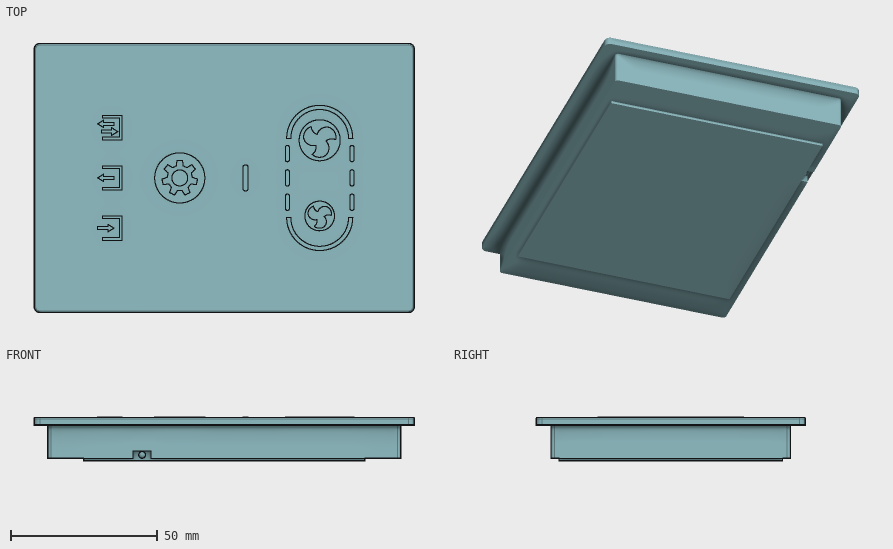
import math

import cadquery as cq

OUTER_X = 130.0
OUTER_Y = 92.0
OUTER_CORNER = 2.0

TOTAL_HEIGHT = 15.1
MARK_HEIGHT = 0.1
PANEL_TOP = TOTAL_HEIGHT - MARK_HEIGHT
PANEL_BOTTOM = 12.5
PANEL_EDGE_RADIUS = 0.5

FLANGE_BOTTOM = 12.1
BOX_X = 120.8
BOX_Y = 81.9
BOX_CORNER = 1.2
BOX_BOTTOM = 0.9
PAD_X = 96.2
PAD_Y = 76.5

NOTCH_X = -28.1
NOTCH_WIDTH = 6.1
NOTCH_TOP = 3.4
NOTCH_DEPTH = (BOX_Y - PAD_Y) / 2
DOME_RADIUS = 1.2
DOME_Z = 2.1

BRACKET_RIGHT = -35.0
BRACKET_WIDTH = 6.6
BRACKET_HEIGHT = 8.3
BRACKET_LINE = 0.9
SYMBOL_PITCH = 17.2
ARROW_LENGTH = 5.6
ARROW_HEAD_LENGTH = 2.1
ARROW_HEAD_WIDTH = 2.6
ARROW_SHAFT_WIDTH = 1.0
ARROW_LEFT = -43.3
PAIR_OFFSET_Y = 1.3
PAIR_SHIFT_X = 1.3

GEAR_X = -15.2
GEAR_BUTTON_RADIUS = 8.6
GEAR_BORE_RADIUS = 2.7
GEAR_ROOT_RADIUS = 4.3
GEAR_TIP_RADIUS = 6.1
GEAR_TEETH = 7
GEAR_ROOT_HALF_ANGLE = 16.0
GEAR_TIP_HALF_ANGLE = 9.0

DIVIDER_X = 7.3
DIVIDER_LENGTH = 9.0
DIVIDER_WIDTH = 1.8

SLIDER_X = 32.6
RING_Y = 13.5
RING_OUTER_RADIUS = 11.3
RING_INNER_RADIUS = 9.9
BAR_LENGTH = 5.6
BAR_WIDTH = 1.4
BAR_PITCH = 8.3
BAR_OFFSET_X = 11.0

FAN_BUTTONS = [(12.9, 7.0), (-13.0, 5.1)]
FAN_BLADES = 3

BLADE_ROOT = (0.31, 0.0)
BLADE_LEADING_EDGE = (0.63, -38.0)
BLADE_LEADING_CORNER = (0.78, -59.0)
BLADE_TIP = (0.83, -86.0)
BLADE_TRAILING_CORNER = (0.78, -111.0)
BLADE_TRAILING_EDGE = (0.5, -106.0)
FAN_START_ANGLE = -7.0


def polar(radius, angle):
    """Point at a radius and an angle in degrees."""
    return (radius * math.cos(math.radians(angle)), radius * math.sin(math.radians(angle)))


def rounded_slab(size_x, size_y, corner, bottom, top):
    """Upright slab centred on the Z axis with rounded vertical edges."""
    slab = cq.Workplane("XY", origin=(0, 0, bottom)).rect(size_x, size_y).extrude(top - bottom)
    return slab.edges("|Z").fillet(corner)


def on_panel(x, y):
    """Workplane on the panel's top face, centred at x, y."""
    return cq.Workplane("XY", origin=(x, y, PANEL_TOP))


def bracket(y):
    """Square bracket that is open to the left."""
    left = BRACKET_RIGHT - BRACKET_WIDTH
    inner_right = BRACKET_RIGHT - BRACKET_LINE
    outer_y = BRACKET_HEIGHT / 2
    inner_y = outer_y - BRACKET_LINE
    outline = [
        (left, outer_y),
        (BRACKET_RIGHT, outer_y),
        (BRACKET_RIGHT, -outer_y),
        (left, -outer_y),
        (left, -inner_y),
        (inner_right, -inner_y),
        (inner_right, inner_y),
        (left, inner_y),
    ]
    return on_panel(0, y).polyline(outline).close().extrude(MARK_HEIGHT)


def arrow(left, y, direction):
    """Arrow along X; direction is 1 for pointing right and -1 for pointing left."""
    tip = direction * ARROW_LENGTH / 2
    head_back = tip - direction * ARROW_HEAD_LENGTH
    head_y = ARROW_HEAD_WIDTH / 2
    shaft_y = ARROW_SHAFT_WIDTH / 2
    outline = [
        (tip, 0),
        (head_back, head_y),
        (head_back, shaft_y),
        (-tip, shaft_y),
        (-tip, -shaft_y),
        (head_back, -shaft_y),
        (head_back, -head_y),
    ]
    return on_panel(left + ARROW_LENGTH / 2, y).polyline(outline).close().extrude(MARK_HEIGHT)


def door_symbols():
    """Two-way symbol at the back, outward symbol in the middle, inward symbol at the front."""
    brackets = [bracket(step * SYMBOL_PITCH) for step in (-1, 0, 1)]
    arrows = [
        arrow(ARROW_LEFT, SYMBOL_PITCH + PAIR_OFFSET_Y, -1),
        arrow(ARROW_LEFT + PAIR_SHIFT_X, SYMBOL_PITCH - PAIR_OFFSET_Y, 1),
        arrow(ARROW_LEFT, 0, -1),
        arrow(ARROW_LEFT, -SYMBOL_PITCH, 1),
    ]
    return brackets + arrows


def gear_button():
    """Raised disc with a sunken gear; the gear's bore stays raised."""
    outline = []
    for tooth in range(GEAR_TEETH):
        middle = 90 + tooth * 360 / GEAR_TEETH
        outline.append(polar(GEAR_ROOT_RADIUS, middle - GEAR_ROOT_HALF_ANGLE))
        outline.append(polar(GEAR_TIP_RADIUS, middle - GEAR_TIP_HALF_ANGLE))
        outline.append(polar(GEAR_TIP_RADIUS, middle + GEAR_TIP_HALF_ANGLE))
        outline.append(polar(GEAR_ROOT_RADIUS, middle + GEAR_ROOT_HALF_ANGLE))
    disc = on_panel(GEAR_X, 0).circle(GEAR_BUTTON_RADIUS).extrude(MARK_HEIGHT)
    gear = on_panel(GEAR_X, 0).polyline(outline).close().extrude(MARK_HEIGHT)
    bore = on_panel(GEAR_X, 0).circle(GEAR_BORE_RADIUS).extrude(MARK_HEIGHT)
    return [disc.cut(gear), bore]


def bar(x, y, length, width):
    """Round-ended bar along Y."""
    return on_panel(x, y).slot2D(length, width, 90).extrude(MARK_HEIGHT)


def half_ring(side):
    """Half ring at one end of the slider; side is 1 for the back end and -1 for the front end."""
    ring = (
        on_panel(SLIDER_X, side * RING_Y)
        .moveTo(-RING_OUTER_RADIUS, 0)
        .threePointArc((0, side * RING_OUTER_RADIUS), (RING_OUTER_RADIUS, 0))
        .lineTo(RING_INNER_RADIUS, 0)
        .threePointArc((0, side * RING_INNER_RADIUS), (-RING_INNER_RADIUS, 0))
        .close()
    )
    return ring.extrude(MARK_HEIGHT)


def slider():
    """Half rings and the bars between them."""
    bars = [
        bar(SLIDER_X + side * BAR_OFFSET_X, step * BAR_PITCH, BAR_LENGTH, BAR_WIDTH)
        for side in (-1, 1)
        for step in (-1, 0, 1)
    ]
    return [half_ring(1), half_ring(-1)] + bars


def fan_button(y, radius):
    """Raised disc with a sunken fan wheel."""

    def blade_point(place, turn):
        fraction, angle = place
        return polar(fraction * radius, angle + turn)

    wheel = on_panel(SLIDER_X, y).moveTo(*blade_point(BLADE_ROOT, FAN_START_ANGLE))
    for blade in range(FAN_BLADES):
        turn = FAN_START_ANGLE - blade * 360 / FAN_BLADES
        next_turn = turn - 360 / FAN_BLADES
        wheel = (
            wheel.threePointArc(
                blade_point(BLADE_LEADING_EDGE, turn), blade_point(BLADE_LEADING_CORNER, turn)
            )
            .threePointArc(blade_point(BLADE_TIP, turn), blade_point(BLADE_TRAILING_CORNER, turn))
            .threePointArc(
                blade_point(BLADE_TRAILING_EDGE, turn), blade_point(BLADE_ROOT, next_turn)
            )
        )
    disc = on_panel(SLIDER_X, y).circle(radius).extrude(MARK_HEIGHT)
    return disc.cut(wheel.close().extrude(MARK_HEIGHT))


def make_panel():
    """Cover panel with a rounded top edge and raised marks."""
    body = rounded_slab(OUTER_X, OUTER_Y, OUTER_CORNER, PANEL_BOTTOM, PANEL_TOP)
    body = body.faces(">Z").fillet(PANEL_EDGE_RADIUS)
    marks = door_symbols() + gear_button() + slider()
    marks.append(bar(DIVIDER_X, 0, DIVIDER_LENGTH, DIVIDER_WIDTH))
    for fan_y, fan_radius in FAN_BUTTONS:
        marks.append(fan_button(fan_y, fan_radius))
    for mark in marks:
        body = body.union(mark)
    return body


def make_housing():
    """Flange, box and pad in one piece, with the front notch and its dome."""
    flange = rounded_slab(OUTER_X, OUTER_Y, OUTER_CORNER, FLANGE_BOTTOM, PANEL_BOTTOM)
    box = rounded_slab(BOX_X, BOX_Y, BOX_CORNER, BOX_BOTTOM, FLANGE_BOTTOM)
    pad = cq.Workplane("XY").rect(PAD_X, PAD_Y).extrude(BOX_BOTTOM)

    front_y = -BOX_Y / 2
    notch = (
        cq.Workplane("XY", origin=(NOTCH_X, front_y + NOTCH_DEPTH / 2, 0))
        .rect(NOTCH_WIDTH, NOTCH_DEPTH)
        .extrude(NOTCH_TOP)
    )
    dome = cq.Workplane("XY", origin=(NOTCH_X, front_y + NOTCH_DEPTH, DOME_Z)).sphere(DOME_RADIUS)
    return flange.union(box).union(pad).cut(notch).union(dome)


panel = make_panel()
housing = make_housing()

result = cq.Compound.makeCompound([panel.val(), housing.val()])